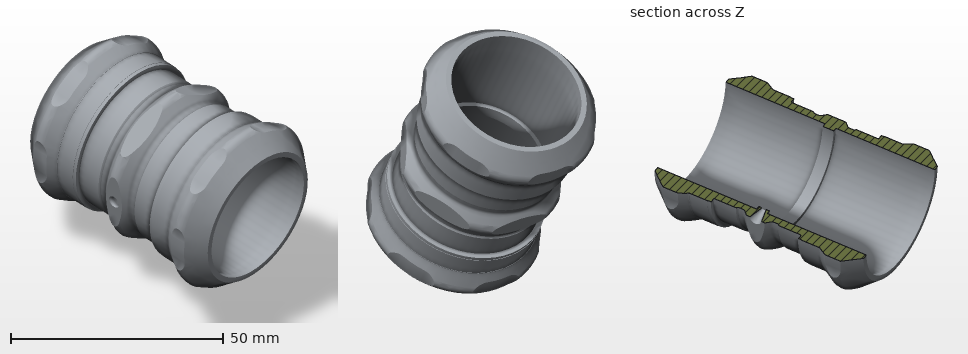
import math

import cadquery as cq


length = 56.9
bore_radius = 30.0 / 2
socket_radius = 32.0 / 2
stop_width = 3.0

nut_end_radius = 17.35
nut_crest_radius = 21.85
nut_length = 10.75
nut_land_radius = 39.4 / 2
nut_front_angle = math.radians(40)
nut_back_angle = math.radians(30)
nut_crest_fillet = 2.4

collar_radius = 19.6
collar_end = 15.7
ring_radius = 19.5
ring_end = 16.6

body_radius = 36.4 / 2
neck_radius = 35.6 / 2
neck_end = 5.4
rib_angle = math.radians(43)
rib_crest_radius = 20.55
rib_crest_fillet = 2.35
rib_crest_centre = (0, rib_crest_radius - rib_crest_fillet)
rib_root_fillet = 0.85

side_count = 6
rib_flat_distance = 19.05
recess_radius = 41.88 / 2
recess_half_width = 3.05
recess_flare_radius = 9.3
recess_flare_angle = math.radians(30)

hole_outer_diameter = 3.1
hole_inner_diameter = 1.0
hole_depth = rib_flat_distance - bore_radius

cutter_radius = 30.0


def arc_point(centre, radius, angle):
    """Point on an arc, with the angle measured from the radial direction toward +X."""
    return (centre[0] + radius * math.sin(angle), centre[1] + radius * math.cos(angle))


def nut_crest_centre():
    """Centre of the crest arc, placed so that it is tangent to the front cone."""
    centre_radius = nut_crest_radius - nut_crest_fillet
    tangent_radius = centre_radius + nut_crest_fillet * math.cos(nut_front_angle)
    tangent_x = -length / 2 + (tangent_radius - nut_end_radius) / math.tan(nut_front_angle)
    return (tangent_x + nut_crest_fillet * math.sin(nut_front_angle), centre_radius)


def rib_root_centre():
    """Centre of the left root arc, placed so that it is tangent to the neck and the rib cone."""
    centre_radius = neck_radius + rib_root_fillet
    crest_x, crest_radius = arc_point(rib_crest_centre, rib_crest_fillet, -rib_angle)
    root_offset_x = rib_root_fillet * math.sin(rib_angle)
    root_radius = centre_radius - rib_root_fillet * math.cos(rib_angle)
    root_x = crest_x - (crest_radius - root_radius) / math.tan(rib_angle)
    return (root_x - root_offset_x, centre_radius)


def line(start, end):
    return cq.Edge.makeLine(cq.Vector(*start), cq.Vector(*end))


def polyline(points):
    return [line(start, end) for start, end in zip(points, points[1:])]


def arc(centre, radius, start_angle, end_angle):
    angles = (start_angle, (start_angle + end_angle) / 2, end_angle)
    points = [cq.Vector(*arc_point(centre, radius, angle)) for angle in angles]
    return cq.Edge.makeThreePointArc(*points)


def half_outline():
    """Edges of the left half outline, from the axis to the start of the rib crest arc."""
    left = -length / 2
    nut_back = left + nut_length
    nut_centre = nut_crest_centre()
    nut_crest_end = arc_point(nut_centre, nut_crest_fillet, nut_back_angle)
    land_start = nut_crest_end[0] + (nut_crest_end[1] - nut_land_radius) / math.tan(nut_back_angle)
    root_centre = rib_root_centre()
    root_end = math.pi - rib_angle
    front_cone = polyline([
        (left, 0),
        (left, nut_end_radius),
        arc_point(nut_centre, nut_crest_fillet, -nut_front_angle),
    ])
    nut_crest = arc(nut_centre, nut_crest_fillet, -nut_front_angle, nut_back_angle)
    outer_steps = polyline([
        nut_crest_end,
        (land_start, nut_land_radius),
        (nut_back, nut_land_radius),
        (nut_back, collar_radius),
        (left + collar_end, collar_radius),
        (left + collar_end, ring_radius),
        (left + ring_end, ring_radius),
        (left + ring_end, body_radius),
        (-neck_end - (body_radius - neck_radius), body_radius),
        (-neck_end, neck_radius),
        (root_centre[0], neck_radius),
    ])
    rib_root = arc(root_centre, rib_root_fillet, math.pi, root_end)
    rib_cone = line(
        arc_point(root_centre, rib_root_fillet, root_end),
        arc_point(rib_crest_centre, rib_crest_fillet, -rib_angle),
    )
    return front_cone + [nut_crest] + outer_steps + [rib_root, rib_cone]


def turned_blank():
    half = half_outline()
    crest = arc(rib_crest_centre, rib_crest_fillet, -rib_angle, rib_angle)
    axis_line = line((-length / 2, 0), (length / 2, 0))
    edges = half + [crest] + [edge.mirror("YZ") for edge in half] + [axis_line]
    outline = cq.Wire.assembleEdges(edges)
    solid = cq.Solid.revolve(outline, [], 360, cq.Vector(0, 0, 0), cq.Vector(1, 0, 0))
    return cq.Workplane(solid).rotate((0, 0, 0), (1, 0, 0), 180 / side_count)


def around_axis(cutter):
    """Copies of a cutter from the -Y side, turned about X, one for each side of the hexagon."""
    return [cutter.rotate((0, 0, 0), (1, 0, 0), side * 360 / side_count) for side in range(side_count)]


def cut_rib_flats(part):
    flat = (
        cq.Workplane("XY")
        .box(2 * neck_end, cutter_radius, 2 * cutter_radius)
        .translate((0, -rib_flat_distance - cutter_radius / 2, 0))
    )
    for cutter in around_axis(flat):
        part = part.cut(cutter)
    return part


def nut_recess():
    """Cutter along the whole part: convex middle with a tangent concave flare on each side."""
    edge_angle = math.asin(recess_half_width / recess_radius)
    flare_centre_distance = recess_radius + recess_flare_radius
    centre_y = -flare_centre_distance * math.cos(edge_angle)
    centre_z = flare_centre_distance * math.sin(edge_angle)

    def flare_point(angle):
        return (centre_y + recess_flare_radius * math.cos(angle),
                centre_z + recess_flare_radius * math.sin(angle))

    inner = flare_point(-edge_angle)
    middle = flare_point((recess_flare_angle - edge_angle) / 2)
    outer = flare_point(recess_flare_angle)
    return (
        cq.Workplane("YZ")
        .moveTo(-cutter_radius, outer[1])
        .lineTo(*outer)
        .threePointArc(middle, inner)
        .threePointArc((-recess_radius, 0), (inner[0], -inner[1]))
        .threePointArc((middle[0], -middle[1]), (outer[0], -outer[1]))
        .lineTo(-cutter_radius, -outer[1])
        .close()
        .extrude(length / 2, both=True)
    )


def cut_nut_recesses(part):
    for cutter in around_axis(nut_recess()):
        part = part.cut(cutter)
    return part


def cut_bore(part):
    socket_depth = (length - stop_width) / 2
    bore = cq.Workplane("YZ").circle(bore_radius).extrude(length / 2, both=True)
    socket = cq.Workplane("YZ", origin=(-length / 2, 0, 0)).circle(socket_radius).extrude(socket_depth)
    return part.cut(bore).cut(socket).cut(socket.mirror("YZ"))


def cut_rib_hole(part):
    """Tapered hole from the -Y flat, narrowing until it opens into the bore."""
    hole = (
        cq.Workplane("XZ", origin=(0, -rib_flat_distance, 0))
        .circle(hole_outer_diameter / 2)
        .workplane(offset=-hole_depth)
        .circle(hole_inner_diameter / 2)
        .loft()
    )
    return part.cut(hole)


result = cut_rib_hole(cut_bore(cut_nut_recesses(cut_rib_flats(turned_blank()))))